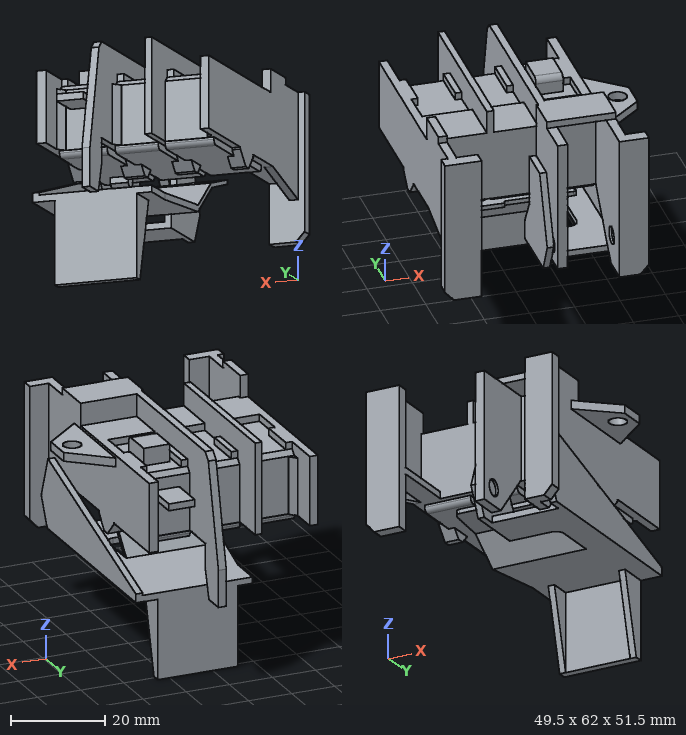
import cadquery as cq

LENGTH = 62.0
HEIGHT = 51.5
WIDTH = 49.5

LEFT_WALL = (1.5, 3.4)
MID_RIB = (14.5, 16.05)
CENTRE_WALL = (25.85, 27.65)
RIGHT_WALL = (38.5, 40.7)
CENTRE_FRONT_X = 25.4

STEP_TOP = 50.0
BLOCK_TOP = 46.4
RECESS_FLOOR = 44.75
BLOCK_BOTTOM = 30.5
BAR_BOTTOM = 28.95
POST_BOTTOM = 17.35

POST_DEPTH = 3.0
LEDGE_FRONT = 10.05
LEDGE_BACK = 19.0
COVER_BACK = 19.5
BLOCK_FRONT = 18.05
BLOCK_BACK = 47.05
WALL_BACK = 55.1
SLOPE_START = 17.8

LEFT_POST = (0.0, 8.05)
RIGHT_POST = (RIGHT_WALL[0], 45.1)
POST_CHAMFER_X = 1.9
POST_CHAMFER_Z = 2.1
LEFT_SLOPE_END_Z = 26.55

CENTRE_FRONT_Y = 1.9
CENTRE_FRONT_BOTTOM = 20.35
LEG_BOTTOM = 18.4
LEG_CHAMFER = 1.6
LEG_SHOULDER_Z = 27.0
LEG_TOE_Y = 57.05
LEG_INNER_Z = 25.0

RIGHT_TOE_Y = 6.5

RECESS_FRONT = 29.0
BACK_CHAMFER = 1.1
GUIDE_OVERHANG = 1.4
GUIDE_FRONT = 37.0
GUSSET_BACK = 48.8
BUMP_FRONT = RECESS_FRONT
BUMP_BACK = 36.65
BUMP_BOTTOM = 26.9
BUMP_TIP_FRONT = 31.8
BUMP_TIP_BACK = 33.55
BUMP_CHEEK = 0.45

BAR_FRONT = 19.5
BAR_BACK = 47.25
BAR_RADIUS = 1.1

EAR_BOTTOM = 43.8
EAR_TOP = 45.75
EAR_ROOT = (16.25, 37.8)
EAR_TIP = (23.9, 30.4)
EAR_HOLE = (46.0, 27.1)
EAR_HOLE_DIAMETER = 4.0

CLIP_X = (30.1, 36.1)
CLIP_Y = (34.2, 42.05)
CLIP_TOP = 48.8
CLIP_RADIUS = 1.3
TAB_TOP = 40.9
TAB_THICKNESS = 1.55
CLIP_FOOT_X = (30.95, 34.95)
CLIP_FOOT_Y = (23.95, 26.6)
CLIP_FOOT_BOTTOM = 26.7
CLIP_FOOT_CHAMFER = 0.85

SHELF_THICKNESS = 1.55

SHEET = 1.5
PLATE_BOTTOM = 18.4
PLATE_TOP = PLATE_BOTTOM + SHEET
PLATE_FRONT = 10.0
PLATE_BACK = 52.6
LEFT_ARM = (23.55, 25.05)
RIGHT_ARM = (41.05, 42.6)
ARM_NOSE = (3.4, 24.9)
ARM_TOE_Y = 6.5
LEFT_ARM_BROW = (9.1, 39.9)
LEFT_ARM_WAIST = (17.0, 28.45)
LEFT_ARM_HEEL = (20.4, 22.75)
RIGHT_ARM_PEAK = (6.9, 34.5)
RIGHT_ARM_TAIL_Z = 20.45

PLATE_LEFT = 15.5
TAPER_START_Y = 44.95
TONGUE_ROOT_Y = 32.0
WINDOW_RIGHT = 35.6
WINDOW_RADIUS = 2.05

TONGUE_TIP_X = 10.5
TONGUE_SPLIT_X = 19.2
TONGUE_LONG_Y = 19.8
TONGUE_SHORT_Y = 21.7
TONGUE_RADIUS = 0.9
TONGUE_UPPER_TIP = (TONGUE_LONG_Y, 27.95)
TONGUE_LOWER_TIP = (TONGUE_LONG_Y, 27.0)
TONGUE_UPPER_BEND = (27.0, 25.7)
TONGUE_LOWER_BEND = (26.55, 24.8)
TAPER = (PLATE_LEFT - TONGUE_TIP_X) / (TAPER_START_Y - TONGUE_LONG_Y)
TONGUE_ROOT_X = TONGUE_TIP_X + TAPER * (TONGUE_ROOT_Y - TONGUE_LONG_Y)

LEVER_FOOT_X = (18.9, 37.5)
LEVER_FOOT_DEPTH_TOP = 7.0
LEVER_FOOT_DEPTH_BOTTOM = 2.1

PIVOT_Y = 5.95
PIVOT_Z = 24.4
PIVOT_DIAMETER = 3.85
PIVOT_RECESS = 0.55


def block(x, y, z):
    """Box spanning the given (low, high) ranges."""
    return (
        cq.Workplane("XY")
        .box(x[1] - x[0], y[1] - y[0], z[1] - z[0], centered=False)
        .translate((x[0], y[0], z[0]))
    )


def side_plate(x, outline):
    """Plate spanning the X range, with a (Y, Z) outline."""
    return cq.Workplane("YZ", origin=(x[0], 0, 0)).polyline(outline).close().extrude(x[1] - x[0])


def flat_plate(z, outline):
    """Plate spanning the Z range, with an (X, Y) outline."""
    return cq.Workplane("XY", origin=(0, 0, z[0])).polyline(outline).close().extrude(z[1] - z[0])


def pivot_cylinder(x):
    """Cylinder on the pivot axis spanning the X range."""
    return (
        cq.Workplane("YZ", origin=(x[0], 0, 0))
        .center(PIVOT_Y, PIVOT_Z)
        .circle(PIVOT_DIAMETER / 2)
        .extrude(x[1] - x[0])
    )


def left_wall():
    return side_plate(LEFT_WALL, [
        (0, STEP_TOP),
        (LEDGE_FRONT, STEP_TOP),
        (LEDGE_FRONT, HEIGHT),
        (LEDGE_BACK, HEIGHT),
        (LEDGE_BACK, BLOCK_TOP),
        (WALL_BACK, BLOCK_TOP),
        (WALL_BACK, BLOCK_BOTTOM),
        (SLOPE_START, BLOCK_BOTTOM),
        (POST_DEPTH, LEFT_SLOPE_END_Z),
        (0, LEFT_SLOPE_END_Z),
    ])


def right_wall():
    return side_plate(RIGHT_WALL, [
        (0, STEP_TOP),
        (COVER_BACK, STEP_TOP),
        (COVER_BACK, BLOCK_TOP),
        (WALL_BACK, BLOCK_TOP),
        (WALL_BACK, BLOCK_BOTTOM),
        (SLOPE_START, BLOCK_BOTTOM),
        (RIGHT_TOE_Y, POST_BOTTOM),
        (0, POST_BOTTOM),
    ])


def centre_wall():
    """Tall wall with a rear leg, thickened ahead of the block."""
    toe_share = (CENTRE_FRONT_BOTTOM - POST_BOTTOM) / (BLOCK_BOTTOM - POST_BOTTOM)
    toe_y = RIGHT_TOE_Y + toe_share * (SLOPE_START - RIGHT_TOE_Y)
    rear = side_plate(CENTRE_WALL, [
        (BLOCK_FRONT, HEIGHT),
        (WALL_BACK, HEIGHT),
        (WALL_BACK + LEG_CHAMFER, HEIGHT - LEG_CHAMFER),
        (LENGTH, LEG_SHOULDER_Z),
        (LENGTH, LEG_BOTTOM),
        (LEG_TOE_Y, LEG_BOTTOM),
        (WALL_BACK, LEG_INNER_Z),
        (WALL_BACK, BLOCK_BOTTOM),
        (BLOCK_FRONT, BLOCK_BOTTOM),
    ])
    front = side_plate((CENTRE_FRONT_X, CENTRE_WALL[1]), [
        (CENTRE_FRONT_Y, STEP_TOP),
        (LEDGE_FRONT, STEP_TOP),
        (LEDGE_FRONT, HEIGHT),
        (BLOCK_FRONT, HEIGHT),
        (BLOCK_FRONT, BLOCK_BOTTOM),
        (SLOPE_START, BLOCK_BOTTOM),
        (toe_y, CENTRE_FRONT_BOTTOM),
        (CENTRE_FRONT_Y, CENTRE_FRONT_BOTTOM),
    ])
    return rear.union(front)


def post(x, outer_edge):
    """Front post with its lower outer edge chamfered."""
    inward = POST_CHAMFER_X if outer_edge == x[0] else -POST_CHAMFER_X
    corner = [
        (outer_edge, POST_BOTTOM),
        (outer_edge + inward, POST_BOTTOM),
        (outer_edge, POST_BOTTOM + POST_CHAMFER_Z),
    ]
    wedge = cq.Workplane("XZ").polyline(corner).close().extrude(-POST_DEPTH)
    return block(x, (0, POST_DEPTH), (POST_BOTTOM, STEP_TOP)).cut(wedge)


def main_block():
    """Block between the side walls, with the top recess and a chamfered back edge."""
    profile = [
        (BLOCK_FRONT, BLOCK_BOTTOM),
        (BLOCK_FRONT, BLOCK_TOP),
        (RECESS_FRONT, BLOCK_TOP),
        (RECESS_FRONT, RECESS_FLOOR),
        (BLOCK_BACK - BACK_CHAMFER, RECESS_FLOOR),
        (BLOCK_BACK, RECESS_FLOOR - BACK_CHAMFER),
        (BLOCK_BACK, BLOCK_BOTTOM),
    ]
    return side_plate((LEFT_WALL[1], RIGHT_WALL[0]), profile)


def cover():
    """Plate over the front of the right bay, and the panel that carries it."""
    x = (CENTRE_WALL[0], RIGHT_WALL[1])
    plate = block(x, (LEDGE_FRONT, COVER_BACK), (STEP_TOP, HEIGHT))
    panel = block(x, (BLOCK_FRONT, COVER_BACK), (BLOCK_BOTTOM, HEIGHT))
    return plate.union(panel)


def bottom_bar(x):
    """Bar under one bay of the block, with rounded lower edges."""
    bar = block(x, (BAR_FRONT, BAR_BACK), (BAR_BOTTOM, BLOCK_BOTTOM))
    return bar.edges("|X and <Z").fillet(BAR_RADIUS)


def guide(x):
    """Rail in the recess and the V-shaped bump below it."""
    rail = block(x, (GUIDE_FRONT, BLOCK_BACK - BACK_CHAMFER), (RECESS_FLOOR, BLOCK_TOP))
    bump = side_plate(x, [
        (BUMP_FRONT, BLOCK_BOTTOM),
        (BUMP_BACK, BLOCK_BOTTOM),
        (BUMP_BACK, BLOCK_BOTTOM - BUMP_CHEEK),
        (BUMP_TIP_BACK, BUMP_BOTTOM),
        (BUMP_TIP_FRONT, BUMP_BOTTOM),
        (BUMP_FRONT, BLOCK_BOTTOM - BUMP_CHEEK),
    ])
    return rail.union(bump)


def gusset(wall_x, direction):
    """Chamfered rib at the back of the block, beside a wall."""
    tip = wall_x + direction * GUIDE_OVERHANG
    outline = [
        (wall_x, BLOCK_BACK),
        (tip, BLOCK_BACK),
        (tip, GUSSET_BACK - GUIDE_OVERHANG),
        (wall_x, GUSSET_BACK),
    ]
    return flat_plate((BLOCK_BOTTOM, RECESS_FLOOR - BACK_CHAMFER), outline)


def mounting_ear():
    x_root = RIGHT_WALL[1]
    ear = flat_plate((EAR_BOTTOM, EAR_TOP), [
        (x_root, EAR_ROOT[0]),
        (WIDTH, EAR_TIP[0]),
        (WIDTH, EAR_TIP[1]),
        (x_root, EAR_ROOT[1]),
    ])
    hole = (
        cq.Workplane("XY", origin=(*EAR_HOLE, EAR_BOTTOM))
        .circle(EAR_HOLE_DIAMETER / 2)
        .extrude(EAR_TOP - EAR_BOTTOM)
    )
    return ear.cut(hole)


def contact_clip():
    """Clip on top of the block, its rear tab and its foot below."""
    top = block(CLIP_X, CLIP_Y, (RECESS_FLOOR, CLIP_TOP)).edges("|X and >Z and <Y").fillet(CLIP_RADIUS)
    tab = block(CLIP_X, (BLOCK_BACK, WALL_BACK), (TAB_TOP - TAB_THICKNESS, TAB_TOP))
    foot = block(CLIP_FOOT_X, CLIP_FOOT_Y, (CLIP_FOOT_BOTTOM, BAR_BOTTOM))
    foot = foot.edges("|X and <Z").chamfer(CLIP_FOOT_CHAMFER)
    return top.union(tab).union(foot)


def make_housing():
    housing = left_wall().union(right_wall()).union(centre_wall()).union(main_block())
    housing = housing.union(block(MID_RIB, (BLOCK_FRONT, WALL_BACK), (BLOCK_BOTTOM, HEIGHT)))
    housing = housing.union(post(LEFT_POST, LEFT_POST[0])).union(post(RIGHT_POST, RIGHT_POST[1]))
    housing = housing.union(block(
        (LEFT_WALL[1], LEFT_POST[1]),
        (POST_DEPTH, BLOCK_FRONT),
        (BLOCK_BOTTOM, BLOCK_BOTTOM + SHELF_THICKNESS),
    ))
    walls = [LEFT_WALL, MID_RIB, CENTRE_WALL, RIGHT_WALL]
    for wall, next_wall in zip(walls, walls[1:]):
        housing = housing.union(bottom_bar((wall[1], next_wall[0])))
    for x in [
        (LEFT_WALL[0], LEFT_WALL[1] + GUIDE_OVERHANG),
        (MID_RIB[0] - GUIDE_OVERHANG, MID_RIB[1] + GUIDE_OVERHANG),
        (CENTRE_WALL[0] - GUIDE_OVERHANG, CENTRE_WALL[1] + GUIDE_OVERHANG),
        (RIGHT_WALL[0] - GUIDE_OVERHANG, RIGHT_WALL[1]),
    ]:
        housing = housing.union(guide(x))
    for wall_x, direction in [(LEFT_WALL[1], 1), (CENTRE_WALL[0], -1), (RIGHT_WALL[0], -1)]:
        housing = housing.union(gusset(wall_x, direction))
    housing = housing.union(cover()).union(mounting_ear()).union(contact_clip())
    for x in [(CENTRE_FRONT_X, CENTRE_WALL[1]), RIGHT_WALL]:
        housing = housing.cut(pivot_cylinder(x))
    return housing


def lever_plate():
    """Base plate with a window open to the left, where the tongue is bent up."""
    plate = flat_plate((PLATE_BOTTOM, PLATE_TOP), [
        (LEFT_ARM[0], PLATE_FRONT),
        (RIGHT_ARM[1], PLATE_FRONT),
        (RIGHT_ARM[1], PLATE_BACK),
        (PLATE_LEFT, PLATE_BACK),
        (PLATE_LEFT, TAPER_START_Y),
        (TONGUE_ROOT_X, TONGUE_ROOT_Y),
        (WINDOW_RIGHT, TONGUE_ROOT_Y),
        (WINDOW_RIGHT, LEFT_ARM_HEEL[0]),
        (LEFT_ARM[0], LEFT_ARM_HEEL[0]),
    ])
    corner = cq.selectors.NearestToPointSelector((WINDOW_RIGHT, LEFT_ARM_HEEL[0], PLATE_BOTTOM + SHEET / 2))
    return plate.edges(corner).fillet(WINDOW_RADIUS)


def tongue():
    """Contact tongue: a ramp and a flatter end, with a long left tip and a short right tip."""
    bent_strip = side_plate((TONGUE_TIP_X, WINDOW_RIGHT), [
        (TONGUE_ROOT_Y, PLATE_BOTTOM),
        (TONGUE_ROOT_Y, PLATE_TOP),
        TONGUE_UPPER_BEND,
        TONGUE_UPPER_TIP,
        TONGUE_LOWER_TIP,
        TONGUE_LOWER_BEND,
    ])
    blank = flat_plate((PLATE_BOTTOM, TONGUE_UPPER_TIP[1]), [
        (TONGUE_ROOT_X, TONGUE_ROOT_Y),
        (TONGUE_TIP_X, TONGUE_LONG_Y),
        (TONGUE_SPLIT_X, TONGUE_LONG_Y),
        (TONGUE_SPLIT_X, TONGUE_SHORT_Y),
        (WINDOW_RIGHT, TONGUE_SHORT_Y),
        (WINDOW_RIGHT, TONGUE_ROOT_Y),
    ])
    rounded_blank = blank.edges("|Z").edges("not(>Y)").fillet(TONGUE_RADIUS)
    return bent_strip.intersect(rounded_blank)


def left_arm():
    return side_plate(LEFT_ARM, [
        ARM_NOSE,
        LEFT_ARM_BROW,
        (LEFT_ARM_WAIST[0], LEFT_ARM_BROW[1]),
        LEFT_ARM_WAIST,
        LEFT_ARM_HEEL,
        (LEFT_ARM_HEEL[0], PLATE_BOTTOM),
        (ARM_TOE_Y, PLATE_BOTTOM),
    ])


def right_arm():
    return side_plate(RIGHT_ARM, [
        ARM_NOSE,
        RIGHT_ARM_PEAK,
        (PLATE_BACK, RIGHT_ARM_TAIL_Z),
        (PLATE_BACK, PLATE_BOTTOM),
        (ARM_TOE_Y, PLATE_BOTTOM),
    ])


def lever_foot():
    """Hanging foot: a back wall between two tapered cheeks."""
    cheeks = side_plate(LEVER_FOOT_X, [
        (PLATE_BACK, 0),
        (PLATE_BACK, PLATE_BOTTOM),
        (PLATE_BACK - LEVER_FOOT_DEPTH_TOP, PLATE_BOTTOM),
        (PLATE_BACK - LEVER_FOOT_DEPTH_BOTTOM, 0),
    ])
    hollow = block(
        (LEVER_FOOT_X[0] + SHEET, LEVER_FOOT_X[1] - SHEET),
        (PLATE_BACK - LEVER_FOOT_DEPTH_TOP, PLATE_BACK - LEVER_FOOT_DEPTH_BOTTOM),
        (0, PLATE_BOTTOM),
    )
    return cheeks.cut(hollow)


def make_lever():
    lever = lever_plate().union(tongue()).union(left_arm()).union(right_arm()).union(lever_foot())
    left_pin = pivot_cylinder((LEFT_ARM[1], CENTRE_WALL[1] - PIVOT_RECESS))
    right_pin = pivot_cylinder((RIGHT_WALL[0] + PIVOT_RECESS, RIGHT_ARM[0]))
    return lever.union(left_pin).union(right_pin)


housing = make_housing()
lever = make_lever()

result = cq.Compound.makeCompound([housing.val(), lever.val()])